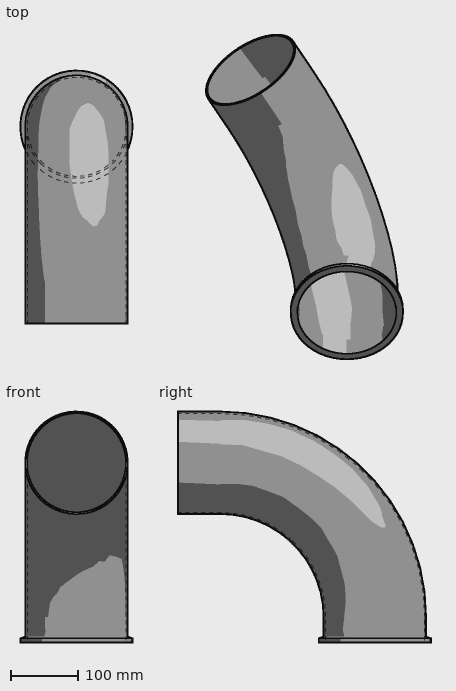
import cadquery as cq
import math

tube_diameter = 152.4
bore_diameter = 146.86
tube_radius = tube_diameter / 2
bore_radius = bore_diameter / 2

bend_radius = 1.5 * tube_diameter
bend_angle = 90
lower_straight_length = 19.05
outlet_straight_length = 63.5

ferrule_height = 19.05
flange_diameter = 166.88
flange_radius = flange_diameter / 2
flange_rim_height = 6.1
flange_slope_angle = 20
neck_fillet_radius = 0.8

bend_start_z = ferrule_height + lower_straight_length
outlet_axis_z = bend_start_z + bend_radius


def make_ferrule():
    """Clamp ferrule: flat-faced flange, conical clamp face and short tube neck."""
    slope = math.radians(flange_slope_angle)
    slope_rise = (flange_radius - tube_radius) * math.tan(slope)
    neck_base_z = flange_rim_height + slope_rise

    half_turn = (math.pi / 2 - slope) / 2
    tangent_length = neck_fillet_radius * math.tan(half_turn)
    arc_start = (
        tube_radius + tangent_length * math.cos(slope),
        neck_base_z - tangent_length * math.sin(slope),
    )
    arc_end = (tube_radius, neck_base_z + tangent_length)
    arc_centre = (tube_radius + neck_fillet_radius, arc_end[1])
    middle_direction = math.pi + half_turn
    arc_middle = (
        arc_centre[0] + neck_fillet_radius * math.cos(middle_direction),
        arc_centre[1] + neck_fillet_radius * math.sin(middle_direction),
    )

    profile = (
        cq.Workplane("XZ")
        .moveTo(bore_radius, 0)
        .lineTo(flange_radius, 0)
        .lineTo(flange_radius, flange_rim_height)
        .lineTo(*arc_start)
        .threePointArc(arc_middle, arc_end)
        .lineTo(tube_radius, ferrule_height)
        .lineTo(bore_radius, ferrule_height)
        .close()
    )
    return profile.revolve(360, (0, 0, 0), (0, 1, 0))


def tube_section(plane):
    """Annular tube section drawn on the given workplane."""
    return plane.circle(tube_radius).circle(bore_radius)


def make_lower_straight():
    """Straight tube between the ferrule and the bend."""
    plane = cq.Workplane("XY").workplane(offset=ferrule_height)
    return tube_section(plane).extrude(lower_straight_length)


def make_bend():
    """Quarter-turn tube bending from +Z to -Y."""
    plane = cq.Workplane("XY").workplane(offset=bend_start_z)
    return tube_section(plane).revolve(bend_angle, (0, -bend_radius, 0), (1, -bend_radius, 0))


def make_outlet_straight():
    """Straight tube from the end of the bend to the open outlet."""
    plane = cq.Workplane("XZ", origin=(0, -bend_radius, outlet_axis_z))
    return tube_section(plane).extrude(outlet_straight_length)


result = make_ferrule()
for segment in (make_lower_straight(), make_bend(), make_outlet_straight()):
    result = result.union(segment, clean=False)